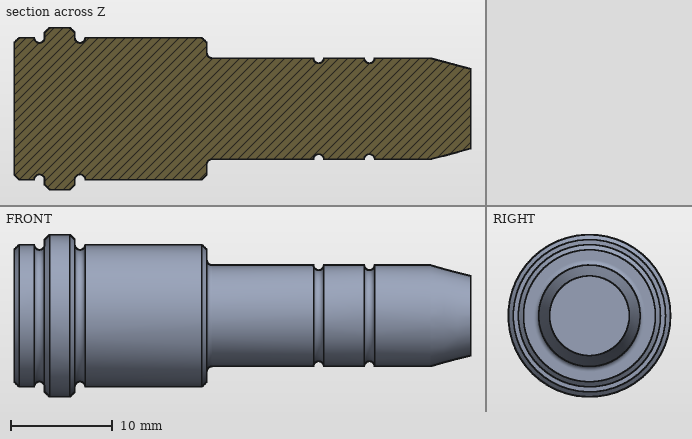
import cadquery as cq
import math

total_length = 45.0
body_radius = 14.0 / 2
collar_radius = 16.0 / 2
shank_radius = 10.0 / 2

edge_chamfer = 0.5
groove_radius = 0.5
groove_width = 2 * groove_radius
collar_start = 3.0
collar_width = 3.0
collar_end = collar_start + collar_width
body_end = 19.0

root_fillet = 0.5
shank_groove_centers = (30.0, 35.0)
taper_length = 4.0
taper_angle = 15.0
taper_start = total_length - taper_length
tip_radius = shank_radius - taper_length * math.tan(math.radians(taper_angle))


def cylinder(start, end, radius):
    """Solid cylinder on the X axis between two stations."""
    return cq.Workplane("YZ", origin=(start, 0, 0)).circle(radius).extrude(end - start)


def round_groove(center, surface_radius):
    """Ring that cuts a half-round groove into a surface of the given radius."""
    return (
        cq.Workplane("XY")
        .center(center, surface_radius)
        .circle(groove_radius)
        .revolve(360, (0, -surface_radius, 0), (1, -surface_radius, 0))
    )


def make_body():
    """Main body with both outer edges chamfered and a groove on each side of the collar."""
    body = cylinder(0, body_end, body_radius).edges().chamfer(edge_chamfer)
    for center in (collar_start - groove_width / 2, collar_end + groove_width / 2):
        body = body.cut(round_groove(center, body_radius))
    return body


def make_collar():
    """Collar with both rims chamfered."""
    return cylinder(collar_start, collar_end, collar_radius).edges().chamfer(edge_chamfer)


def make_shank():
    """Shank with a concave root fillet, a tapered tip and two grooves."""
    shank = (
        cq.Workplane("XY")
        .moveTo(body_end, 0)
        .lineTo(body_end, shank_radius + root_fillet)
        .radiusArc((body_end + root_fillet, shank_radius), -root_fillet)
        .lineTo(taper_start, shank_radius)
        .lineTo(total_length, tip_radius)
        .lineTo(total_length, 0)
        .close()
        .revolve(360, (0, 0, 0), (1, 0, 0))
    )
    for center in shank_groove_centers:
        shank = shank.cut(round_groove(center, shank_radius))
    return shank


result = make_body().union(make_collar()).union(make_shank())